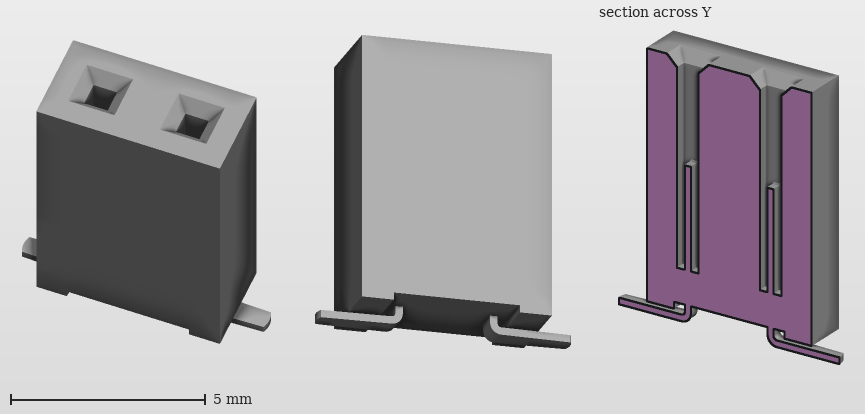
import cadquery as cq

body_length = 5.08
body_width = 2.54
top_z = 7.45
body_bottom_z = 0.3
pitch = body_length / 2
notch_length = 3.38
notch_top_z = 0.49

mouth_size = 1.28
bore_size = 0.65
funnel_depth = (mouth_size - bore_size) / 2
bore_floor_z = 1.49

overall_length = 6.8
strip_thickness = 0.2
strip_width = 0.63
inner_bend_radius = 0.1
outer_bend_radius = inner_bend_radius + strip_thickness
blade_top_z = 4.47
dish_floor_width = 0.565
dish_depth = (strip_width - dish_floor_width) / 2
toe_width = 0.52
toe_bulge = 0.06


def make_housing():
    """Block with a shallow channel across the middle of its underside."""
    housing = cq.Workplane("XY").box(
        body_length, body_width, top_z - body_bottom_z, centered=(True, True, False)
    ).translate((0, 0, body_bottom_z))
    channel = cq.Workplane("XY").box(
        notch_length, body_width, notch_top_z - body_bottom_z, centered=(True, True, False)
    ).translate((0, 0, body_bottom_z))
    return housing.cut(channel)


def make_socket(center_x):
    """Cutter for a square bore with a funnel-shaped mouth."""
    funnel = (
        cq.Workplane("XY", origin=(center_x, 0, top_z))
        .rect(mouth_size, mouth_size)
        .workplane(offset=-funnel_depth)
        .rect(bore_size, bore_size)
        .loft(ruled=True)
    )
    bore = cq.Workplane("XY", origin=(center_x, 0, bore_floor_z)).rect(bore_size, bore_size)
    return funnel.union(bore.extrude(top_z - funnel_depth - bore_floor_z))


def make_right_contact():
    """Upright blade, bent outward at the bottom into a tapered foot with a rounded toe."""
    blade_inner_x = pitch / 2 - strip_thickness / 2
    bend_end_x = blade_inner_x + outer_bend_radius
    toe_corner_x = overall_length / 2 - toe_bulge

    blade = (
        cq.Workplane("XZ", origin=(blade_inner_x, 0, 0))
        .moveTo(0, blade_top_z)
        .lineTo(0, outer_bend_radius)
        .radiusArc((outer_bend_radius, 0), -outer_bend_radius)
        .lineTo(outer_bend_radius, strip_thickness)
        .radiusArc((strip_thickness, outer_bend_radius), inner_bend_radius)
        .lineTo(strip_thickness, blade_top_z)
        .close()
        .extrude(strip_width / 2, both=True)
    )

    dish = (
        cq.Workplane("YZ", origin=(blade_inner_x, 0, blade_top_z))
        .moveTo(-strip_width / 2, 0)
        .lineTo(-dish_floor_width / 2, -dish_depth)
        .lineTo(dish_floor_width / 2, -dish_depth)
        .lineTo(strip_width / 2, 0)
        .close()
        .extrude(strip_thickness)
    )
    blade = blade.cut(dish)

    foot = (
        cq.Workplane("XY")
        .moveTo(bend_end_x, -strip_width / 2)
        .lineTo(toe_corner_x, -toe_width / 2)
        .threePointArc((overall_length / 2, 0), (toe_corner_x, toe_width / 2))
        .lineTo(bend_end_x, strip_width / 2)
        .close()
        .extrude(strip_thickness)
    )
    return blade.union(foot)


result = make_housing()
for socket_x in (-pitch / 2, pitch / 2):
    result = result.cut(make_socket(socket_x))

right_contact = make_right_contact()
result = result.union(right_contact).union(right_contact.mirror("YZ"))